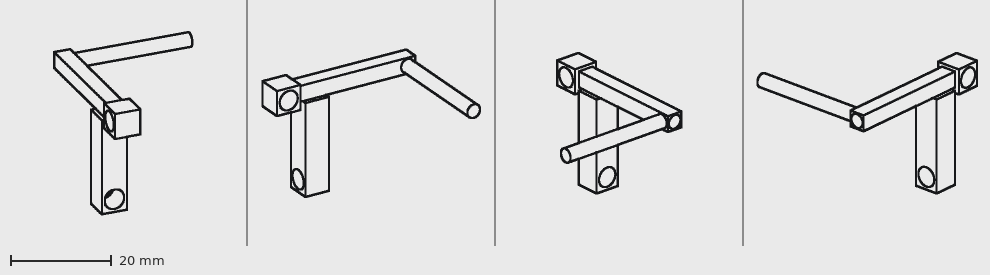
import cadquery as cq

length = 33.0
depth = 29.55
height = 24.9

block_size = 5.5
arm_size = 3.5
arm_bottom = 20.65
leg_start = 20.82
cross_hole_diameter = 4.22
leg_hole_height = 2.8

rod_diameter = 3.0
rod_center_x = 1.85
bore_diameter = 3.0

arm_length = length - block_size
arm_center_z = arm_bottom + arm_size / 2
mid_y = block_size / 2
arm_front_y = mid_y - arm_size / 2
arm_back_y = mid_y + arm_size / 2
block_bottom = height - block_size
block_center_x = length - block_size / 2
block_center_z = height - block_size / 2


def box_at(corner, size):
    """Box with its lowest corner at the given point."""
    return cq.Workplane("XY").box(*size, centered=False).translate(corner)


def cylinder(start, direction, diameter, distance):
    """Cylinder running from the start point along the direction."""
    return cq.Workplane(
        cq.Solid.makeCylinder(diameter / 2, distance, cq.Vector(*start), cq.Vector(*direction))
    )


along_x = (1, 0, 0)
along_y = (0, 1, 0)

arm = box_at((0, arm_front_y, arm_bottom), (arm_length, arm_size, arm_size))
bore = cylinder((0, mid_y, arm_center_z), along_x, bore_diameter, arm_length)
arm = arm.cut(bore)

block = box_at((arm_length, 0, block_bottom), (block_size, block_size, block_size))
block_hole = cylinder((block_center_x, 0, block_center_z), along_y, cross_hole_diameter, block_size)
block = block.cut(block_hole)

leg = box_at((leg_start, 0, 0), (block_size, block_size, arm_bottom))
leg_hole = cylinder((leg_start, mid_y, leg_hole_height), along_x, cross_hole_diameter, block_size)
leg = leg.cut(leg_hole)

rod = cylinder((rod_center_x, arm_back_y, arm_center_z), along_y, rod_diameter, depth - arm_back_y)

result = arm.union(block).union(leg).union(rod)